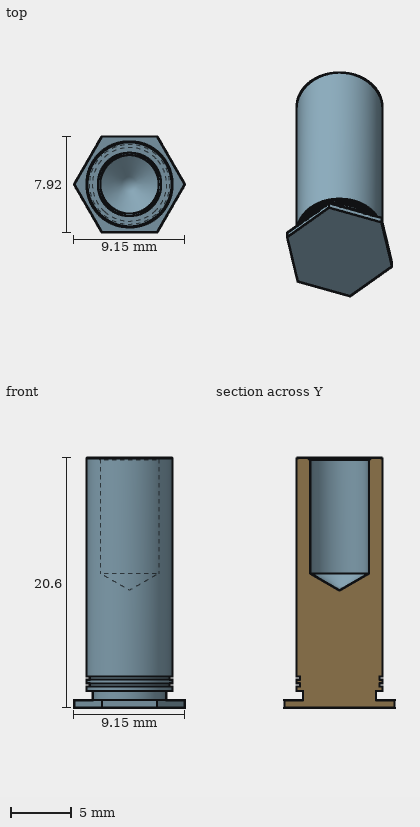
import cadquery as cq
import math

total_height = 20.64
hex_sides = 6
hex_across_flats = 7.92
flange_thickness = 0.64

barrel_diameter = 7.11
groove_diameter = 6.6
neck_diameter = 6.1
top_chamfer = 0.08

neck_top = 1.4
groove_bottoms = (1.78, 2.34)
groove_width = 0.254

bore_diameter = 4.83
bore_depth = 9.53
drill_point_angle = 120.0
bore_chamfer = 0.2


def make_flange():
    across_corners = hex_across_flats / math.cos(math.pi / hex_sides)
    return cq.Workplane("XY").polygon(hex_sides, across_corners).extrude(flange_thickness)


def make_cylinder(diameter, bottom, top):
    return cq.Workplane("XY").workplane(offset=bottom).circle(diameter / 2).extrude(top - bottom)


def make_barrel():
    barrel = make_cylinder(barrel_diameter, neck_top, total_height)
    return barrel.faces(">Z").edges().chamfer(top_chamfer)


def make_groove_cutter(bottom):
    """Ring that reduces the barrel to the groove diameter."""
    outer = make_cylinder(2 * barrel_diameter, bottom, bottom + groove_width)
    core = make_cylinder(groove_diameter, bottom, bottom + groove_width)
    return outer.cut(core)


def make_bore_cutter():
    """Countersunk bore ending in a conical drill point, revolved about Z."""
    radius = bore_diameter / 2
    floor = total_height - bore_depth
    tip = floor - radius / math.tan(math.radians(drill_point_angle / 2))
    profile = (
        cq.Workplane("XZ")
        .moveTo(0, tip)
        .lineTo(radius, floor)
        .lineTo(radius, total_height - bore_chamfer)
        .lineTo(radius + bore_chamfer, total_height)
        .lineTo(0, total_height)
        .close()
    )
    return profile.revolve(360, (0, 0, 0), (0, 1, 0))


result = make_flange()
result = result.union(make_cylinder(neck_diameter, flange_thickness, neck_top))
result = result.union(make_barrel())
for groove_bottom in groove_bottoms:
    result = result.cut(make_groove_cutter(groove_bottom))
result = result.cut(make_bore_cutter())